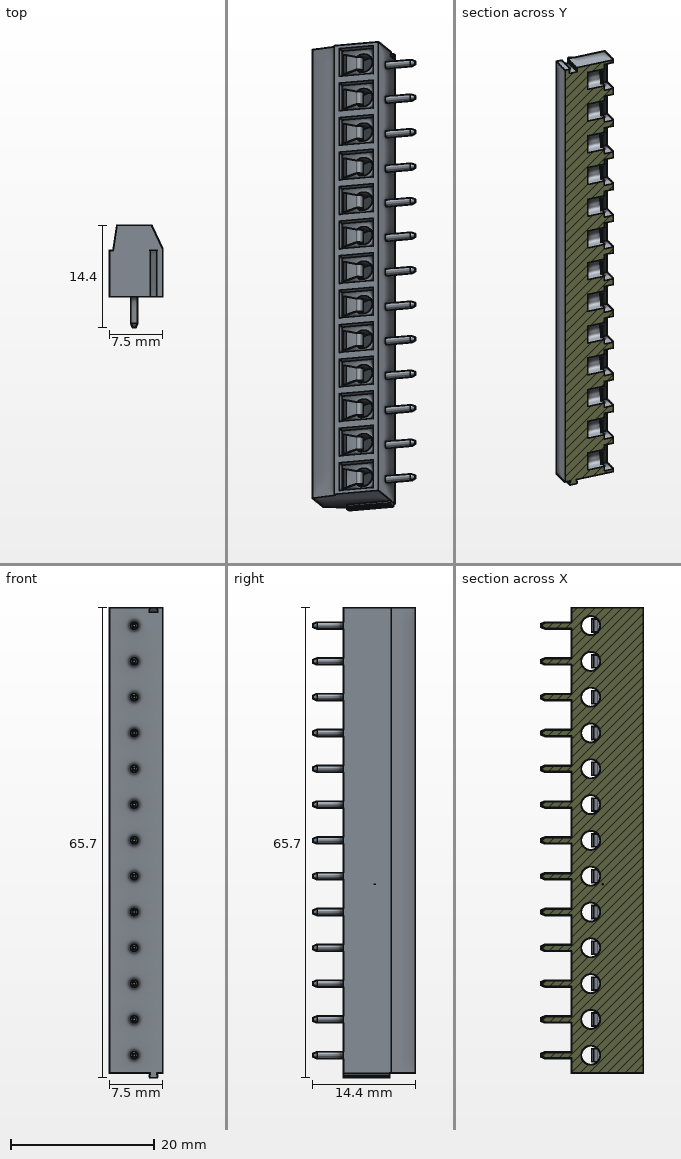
import cadquery as cq


pole_count = 13
total_height = 65.7
rail_height = 0.65
body_height = total_height - rail_height
pitch = body_height / pole_count
body_width = 7.5
body_depth = 10.05
entry_face_depth = 6.5
step_width = 0.5
top_left_x = 1.05
top_right_x = 5.9
right_shoulder_y = 6.7

pin_x = 3.5
pin_diameter = 1.0
pin_root_y = 0.65
pin_length = 4.3
pin_chamfer = 0.25
pin_chamfer_length = 0.6

pocket_low_y = 0.8
pocket_high_y = 5.8
pocket_height = 4.0
pocket_floor_x = 1.4
hole_y = 2.7
hole_radius = 1.3
hole_floor_x = 3.95

leaf_thickness = 0.25
leaf_bend_radius = 0.8
leaf_face_x = pocket_floor_x - leaf_thickness
leaf_end_x = leaf_face_x + leaf_bend_radius
leaf_wide_y = 5.6
leaf_bevel_y = 5.1
leaf_bend_y = 3.6
leaf_inner_radius = leaf_bend_radius - leaf_thickness
leaf_tip_y = leaf_bend_y - leaf_bend_radius
leaf_wide_half = 1.45
leaf_narrow_half = 0.9

rail_x = 6.2
rail_neck_width = 0.9
rail_head_width = 1.2
rail_neck_height = 0.3
rail_corner_chamfer = 0.1
rail_length = entry_face_depth


def make_body():
    """Housing outline in XY, extruded over all poles."""
    outline = [
        (0, 0),
        (body_width, 0),
        (body_width, right_shoulder_y),
        (top_right_x, body_depth),
        (top_left_x, body_depth),
        (step_width, entry_face_depth),
        (0, entry_face_depth),
    ]
    return cq.Workplane("XY").polyline(outline).close().extrude(body_height)


def make_rail(top_z):
    """Narrow-necked, flared bar along Y, hanging down from top_z."""
    neck = rail_neck_width / 2
    head = rail_head_width / 2
    section = [
        (rail_x - neck, top_z),
        (rail_x + neck, top_z),
        (rail_x + head, top_z - rail_neck_height),
        (rail_x + head, top_z - rail_height),
        (rail_x - head, top_z - rail_height),
        (rail_x - head, top_z - rail_neck_height),
    ]
    return cq.Workplane("XZ").polyline(section).close().extrude(-rail_length)


def make_pin(z):
    """Round pin rooted in the housing, with a tapered tip."""
    radius = pin_diameter / 2
    half_section = [
        (0, pin_root_y),
        (radius, pin_root_y),
        (radius, pin_chamfer_length - pin_length),
        (radius - pin_chamfer, -pin_length),
        (0, -pin_length),
    ]
    pin = cq.Workplane("XY").polyline(half_section).close().revolve(360, (0, 0), (0, 1))
    return pin.translate((pin_x, 0, z))


def make_entry_cavity(z):
    """Rectangular pocket with a round wire hole in its floor."""
    pocket_width = pocket_high_y - pocket_low_y
    pocket_y = (pocket_high_y + pocket_low_y) / 2
    opening = cq.Workplane("YZ").center(pocket_y, z).rect(pocket_width, pocket_height)
    pocket = opening.extrude(pocket_floor_x)
    hole = cq.Workplane("YZ").center(hole_y, z).circle(hole_radius).extrude(hole_floor_x)
    return pocket.union(hole)


def make_leaf(z):
    """Bent strip profile in XY, trimmed to the tapered outline in YZ."""
    profile = (
        cq.Workplane("XY")
        .moveTo(pocket_floor_x, leaf_wide_y)
        .lineTo(leaf_face_x, leaf_bevel_y)
        .lineTo(leaf_face_x, leaf_bend_y)
        .radiusArc((leaf_end_x, leaf_tip_y), -leaf_bend_radius)
        .lineTo(leaf_end_x, leaf_tip_y + leaf_thickness)
        .radiusArc((pocket_floor_x, leaf_bend_y), leaf_inner_radius)
        .close()
    )
    strip = profile.extrude(leaf_wide_half, both=True)
    outline = [
        (leaf_wide_y, leaf_wide_half),
        (leaf_bend_y, leaf_narrow_half),
        (leaf_tip_y, leaf_narrow_half),
        (leaf_tip_y, -leaf_narrow_half),
        (leaf_bend_y, -leaf_narrow_half),
        (leaf_wide_y, -leaf_wide_half),
    ]
    taper = cq.Workplane("YZ").polyline(outline).close().extrude(leaf_end_x)
    return strip.intersect(taper).translate((0, 0, z))


groove = make_rail(body_height)
rail = make_rail(0).edges("|Y and <Z").chamfer(rail_corner_chamfer)

result = make_body().cut(groove).union(rail)
for pole in range(pole_count):
    pole_z = (pole + 0.5) * pitch
    result = result.cut(make_entry_cavity(pole_z))
    result = result.union(make_leaf(pole_z))
    result = result.union(make_pin(pole_z))